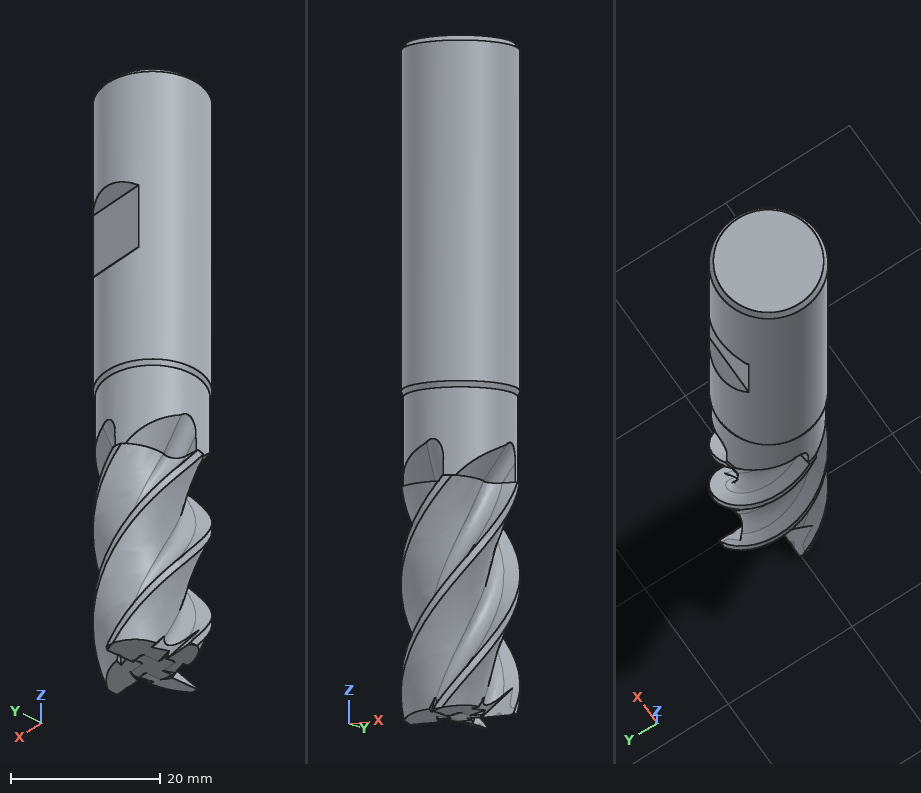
import cadquery as cq
import math


total_length = 92.0
diameter = 16.0
radius = diameter / 2
tooth_count = 4
tooth_pitch = 360 / tooth_count
helix_angle = 40.0

cutter_length = 32.0
corner_chamfer = 0.3

first_edge_angle = -2.6
land_angle = 9.3
rake_inner_radius = 5.8
rake_inner_angle = 0.9
heel_radius = 4.6
heel_angle = -30.9
back_bulge = 0.6

neck_radius = 7.7
neck_top = 44.0
neck_taper_height = 0.8
shank_chamfer_height = 0.8
shank_chamfer_width = 0.6

flat_depth = 1.6
flat_length = 10.0
flat_center_from_end = 24.0

runout_rise = 5.1
runout_outward = 3.6
runout_sideways = 0.4
runout_overtravel = 2.0

gash_inner_radius = 3.2
gash_slope = 53.0
gash_wall_y = -0.22
gash_wall_lean = 35.0
gash_floor_tilt = 20.0
gash_reach = 2.5
end_relief_slope = 14.0
dish_depth = 0.45

clearance = 3.0
outer_reach = radius + clearance

lead = math.pi * diameter / math.tan(math.radians(helix_angle))
cutter_twist = 360 * cutter_length / lead


def polar(distance, angle):
    a = math.radians(angle)
    return (distance * math.cos(a), distance * math.sin(a))


def bulged_midpoint(start, end, bulge):
    """Point beside the middle of start-end, shifted to the right-hand side of that direction."""
    dx = end[0] - start[0]
    dy = end[1] - start[1]
    chord = math.hypot(dx, dy)
    return ((start[0] + end[0]) / 2 + bulge * dy / chord, (start[1] + end[1]) / 2 - bulge * dx / chord)


def trace_flute(sketch, edge_angle):
    """Continue an outline from a land's trailing corner, through the flute, to the next cutting edge."""
    land_end = polar(radius, edge_angle - tooth_pitch + land_angle)
    heel = polar(heel_radius, edge_angle + heel_angle)
    rake_inner = polar(rake_inner_radius, edge_angle + rake_inner_angle)
    cutting_edge = polar(radius, edge_angle)

    rake_length = math.dist(rake_inner, cutting_edge)
    inward = [(a - b) / rake_length for a, b in zip(rake_inner, cutting_edge)]
    normal = (-inward[1], inward[0])
    to_heel = (heel[0] - rake_inner[0], heel[1] - rake_inner[1])
    gullet_radius = math.hypot(*to_heel) ** 2 / (2 * (to_heel[0] * normal[0] + to_heel[1] * normal[1]))
    center = (rake_inner[0] + gullet_radius * normal[0], rake_inner[1] + gullet_radius * normal[1])
    chord_middle = ((heel[0] + rake_inner[0]) / 2, (heel[1] + rake_inner[1]) / 2)
    depth_direction = (chord_middle[0] - center[0], chord_middle[1] - center[1])
    stretch = gullet_radius / math.hypot(*depth_direction)
    gullet_middle = (center[0] + stretch * depth_direction[0], center[1] + stretch * depth_direction[1])

    return (
        sketch.threePointArc(bulged_midpoint(land_end, heel, back_bulge), heel)
        .threePointArc(gullet_middle, rake_inner)
        .lineTo(*cutting_edge)
    )


def fluted_blank():
    sketch = cq.Workplane("XY").moveTo(*polar(radius, first_edge_angle))
    for tooth in range(tooth_count):
        edge_angle = first_edge_angle + tooth * tooth_pitch
        sketch = sketch.threePointArc(
            polar(radius, edge_angle + land_angle / 2), polar(radius, edge_angle + land_angle)
        )
        sketch = trace_flute(sketch, edge_angle + tooth_pitch)
    return sketch.close().twistExtrude(cutter_length, cutter_twist)


def gash():
    """Notch ahead of the end edge of the tooth on +X.

    Its wall leans back along the helix; its floor climbs outwards and ahead of the wall.
    """
    floor_rise = (outer_reach - gash_inner_radius) * math.tan(math.radians(gash_slope))
    floor_run_below = clearance / math.tan(math.radians(gash_slope))
    lean = math.tan(math.radians(gash_wall_lean))

    def wall_point(x, z):
        return cq.Vector(x, gash_wall_y + lean * z, z)

    wall = cq.Wire.makePolygon(
        [
            wall_point(gash_inner_radius - floor_run_below, -clearance),
            wall_point(outer_reach, floor_rise),
            wall_point(outer_reach, -clearance),
        ],
        close=True,
    )
    floor_tilt_rise = gash_reach * math.tan(math.radians(gash_floor_tilt))
    return cq.Workplane(cq.Solid.extrudeLinear(wall, [], cq.Vector(0, -gash_reach, floor_tilt_rise)))


def end_relief():
    """Wedge that lets the end face rise behind the end edge of the tooth on +X."""
    rise = outer_reach * math.tan(math.radians(end_relief_slope))
    return (
        cq.Workplane("YZ", origin=(-gash_wall_y, 0, 0))
        .moveTo(gash_wall_y, 0)
        .lineTo(gash_wall_y + outer_reach, rise)
        .lineTo(gash_wall_y + outer_reach, -clearance)
        .lineTo(gash_wall_y, -clearance)
        .close()
        .extrude(outer_reach)
    )


def build_cutter():
    envelope = cq.Workplane("XY").circle(radius).extrude(cutter_length).faces("<Z").chamfer(corner_chamfer)
    body = fluted_blank().intersect(envelope)
    for tooth in range(tooth_count):
        turn = tooth * tooth_pitch
        body = body.cut(gash().rotate((0, 0, 0), (0, 0, 1), turn))
        body = body.cut(end_relief().rotate((0, 0, 0), (0, 0, 1), turn))
    dish = cq.Workplane("XY").circle(gash_inner_radius).extrude(dish_depth)
    return body.cut(dish)


def flute_runout():
    """Flute opening at the top of the cutter, swept obliquely up and out towards -Y."""
    top_edge_angle = (first_edge_angle + cutter_twist) % tooth_pitch - tooth_pitch
    land_end_angle = top_edge_angle - tooth_pitch + land_angle
    sketch = cq.Workplane("XY", origin=(0, 0, cutter_length)).moveTo(*polar(radius, land_end_angle))
    outline = (
        trace_flute(sketch, top_edge_angle)
        .lineTo(*polar(outer_reach, top_edge_angle))
        .threePointArc(
            polar(outer_reach, (top_edge_angle + land_end_angle) / 2), polar(outer_reach, land_end_angle)
        )
        .close()
    )
    sweep = cq.Vector(runout_sideways, -runout_outward, runout_rise) * runout_overtravel
    return cq.Workplane(cq.Solid.extrudeLinear(outline.val(), [], sweep))


def weldon_flat():
    center_z = total_length - flat_center_from_end
    half_floor = flat_length / 2
    floor_y = radius - flat_depth
    half_mouth = half_floor + flat_depth + clearance
    return (
        cq.Workplane("YZ")
        .moveTo(floor_y, center_z - half_floor)
        .lineTo(outer_reach, center_z - half_mouth)
        .lineTo(outer_reach, center_z + half_mouth)
        .lineTo(floor_y, center_z + half_floor)
        .close()
        .extrude(radius, both=True)
    )


def build_shank():
    body = (
        cq.Workplane("XZ")
        .moveTo(0, cutter_length)
        .lineTo(neck_radius, cutter_length)
        .lineTo(neck_radius, neck_top)
        .lineTo(radius, neck_top + neck_taper_height)
        .lineTo(radius, total_length - shank_chamfer_height)
        .lineTo(radius - shank_chamfer_width, total_length)
        .lineTo(0, total_length)
        .close()
        .revolve(360, (0, 0, 0), (0, 1, 0))
    )
    for flute in range(tooth_count):
        body = body.cut(flute_runout().rotate((0, 0, 0), (0, 0, 1), flute * tooth_pitch))
    return body.cut(weldon_flat())


cutter = build_cutter()
shank = build_shank()

result = cq.Compound.makeCompound([cutter.val(), shank.val()])